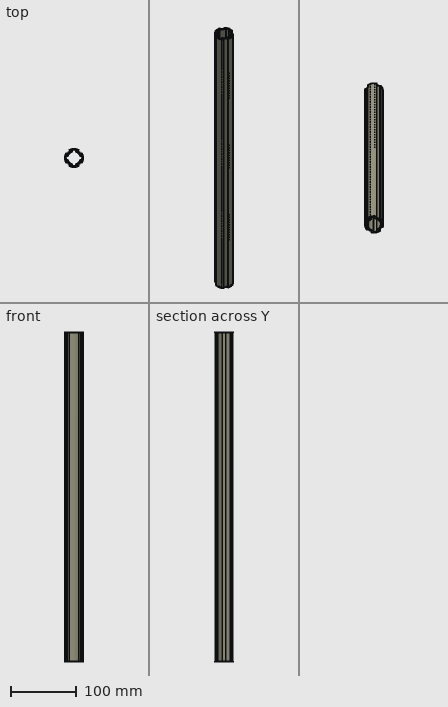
import cadquery as cq
import math

length = 500.0
outer_diameter = 28.0

bore_diameter = 20.0
groove_floor = 1.75
groove_diameter = outer_diameter - 2 * groove_floor
groove_angle = 30.0

flute_wall = 2.0
flute_diameter = bore_diameter + 2 * flute_wall
flute_angle = 30.0

quarter_turns = (0, 90, 180, 270)
flute_offset = 45


def cylinder(diameter):
    return cq.Workplane("XY").circle(diameter / 2).extrude(length)


def wedge(angle, direction):
    """Wedge with its tip on the tube axis, reaching past the outer face."""
    reach = outer_diameter
    half_width = reach * math.tan(math.radians(angle / 2))
    corners = [(0, 0), (reach, -half_width), (reach, half_width)]
    blank = cq.Workplane("XY").polyline(corners).close().extrude(length)
    return blank.rotate((0, 0, 0), (0, 0, 1), direction)


def groove(direction):
    """Inner groove with radial sides and a round floor about the tube axis."""
    return wedge(groove_angle, direction).intersect(cylinder(groove_diameter))


def flute(direction):
    """Outer flute with radial sides and a round floor about the tube axis."""
    return wedge(flute_angle, direction).cut(cylinder(flute_diameter))


tube = cylinder(outer_diameter).cut(cylinder(bore_diameter))
for turn in quarter_turns:
    tube = tube.cut(groove(turn))
    tube = tube.cut(flute(turn + flute_offset))

result = tube.translate((0, 0, -length / 2))